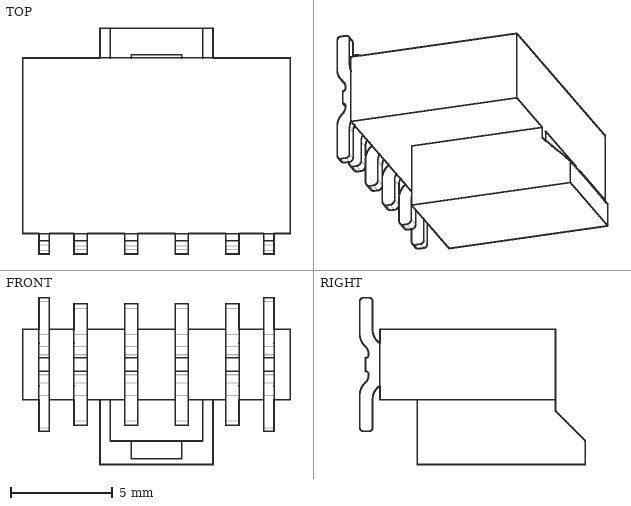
import cadquery as cq
import math

HOUSING_WIDTH = 13.23
HOUSING_DEPTH = 8.69
HOUSING_HEIGHT = 3.49
HOUSING_BOTTOM = -HOUSING_HEIGHT / 2

BRACKET_WIDTH = 5.61
BRACKET_DROP = 3.2
BRACKET_SETBACK = 1.84
BRACKET_OVERHANG = 1.47
BRACKET_WALL = 0.53
BRACKET_FLOOR = 1.18
FLOOR_TOP = HOUSING_BOTTOM - BRACKET_DROP + BRACKET_FLOOR

POCKET_WIDTH = 2.5
POCKET_DEPTH = 0.89
POCKET_OVERRUN = 0.15

PIN_REACH = 1.0
PIN_THICKNESS = 0.65
WAIST_REACH = 0.57
BOSS_REACH = 0.71
BOSS_HALF_HEIGHT = 0.33
WAIST_FLAT_END = 0.52
OUTER_BEND_END = 1.51
BEND_TURN = 0.4
INNER_BEND_END = 1.72
INNER_BEND_RADIUS = 0.8

SIGNAL_PITCH = 2.5
SIGNAL_COUNT = 4
SIGNAL_WIDTH = 0.66
SIGNAL_HEIGHT = 6.02
SIGNAL_TIP_RADIUS = 0.24
END_PIN_OFFSET = 5.55
END_PIN_WIDTH = 0.53
END_PIN_HEIGHT = 6.62
END_TIP_RADIUS = 0.19


def make_housing():
    return cq.Workplane("XY").box(
        HOUSING_WIDTH, HOUSING_DEPTH, HOUSING_HEIGHT, centered=(True, False, True)
    )


def make_bracket():
    front = BRACKET_SETBACK
    back = HOUSING_DEPTH + BRACKET_OVERHANG
    bottom = HOUSING_BOTTOM - BRACKET_DROP
    slope_top = FLOOR_TOP + BRACKET_OVERHANG
    block = (
        cq.Workplane("YZ")
        .moveTo(front, HOUSING_BOTTOM)
        .lineTo(front, bottom)
        .lineTo(back, bottom)
        .lineTo(back, FLOOR_TOP)
        .lineTo(HOUSING_DEPTH, slope_top)
        .lineTo(HOUSING_DEPTH, HOUSING_BOTTOM)
        .close()
        .extrude(BRACKET_WIDTH / 2, both=True)
    )
    channel = (
        cq.Workplane("XY", origin=(0, front, FLOOR_TOP))
        .box(
            BRACKET_WIDTH - 2 * BRACKET_WALL,
            back - front,
            BRACKET_DROP - BRACKET_FLOOR,
            centered=(True, False, False),
        )
    )
    pocket = (
        cq.Workplane("XY", origin=(0, front, FLOOR_TOP - POCKET_DEPTH))
        .box(
            POCKET_WIDTH,
            HOUSING_DEPTH + POCKET_OVERRUN - front,
            POCKET_DEPTH,
            centered=(True, False, False),
        )
    )
    return block.cut(channel).cut(pocket)


def arc_point(center_y, center_z, radius, angle):
    return (center_y + radius * math.cos(angle), center_z + radius * math.sin(angle))


def make_pin(x, width, height, tip_radius):
    tip = height / 2
    outer = -PIN_REACH
    inner = outer + PIN_THICKNESS

    bend_offset = PIN_REACH - WAIST_REACH
    bend_height = OUTER_BEND_END - WAIST_FLAT_END
    bend_angle = 2 * math.atan(bend_offset / bend_height)
    hollow_radius = BEND_TURN / math.sin(bend_angle)
    round_radius = (bend_height - BEND_TURN) / math.sin(bend_angle)
    hollow_center = (-WAIST_REACH - hollow_radius, WAIST_FLAT_END)
    round_center = (outer + round_radius, OUTER_BEND_END)
    hollow_mid = arc_point(*hollow_center, hollow_radius, bend_angle / 2)
    hollow_end = arc_point(*hollow_center, hollow_radius, bend_angle)
    round_mid = arc_point(*round_center, round_radius, math.pi + bend_angle / 2)

    inner_center = (inner + INNER_BEND_RADIUS, INNER_BEND_END)
    inner_angle = math.acos(inner_center[0] / INNER_BEND_RADIUS)
    inner_mid = arc_point(*inner_center, INNER_BEND_RADIUS, math.pi + inner_angle / 2)
    inner_end = arc_point(*inner_center, INNER_BEND_RADIUS, math.pi + inner_angle)

    boss_radius = BOSS_REACH - WAIST_REACH
    boss_top = BOSS_HALF_HEIGHT + boss_radius
    boss_mid = arc_point(-BOSS_REACH, boss_top, boss_radius, -math.pi / 4)

    upper_half = (
        cq.Workplane("YZ", origin=(x, 0, 0))
        .moveTo(0, 0)
        .lineTo(-BOSS_REACH, 0)
        .lineTo(-BOSS_REACH, BOSS_HALF_HEIGHT)
        .threePointArc(boss_mid, (-WAIST_REACH, boss_top))
        .lineTo(-WAIST_REACH, WAIST_FLAT_END)
        .threePointArc(hollow_mid, hollow_end)
        .threePointArc(round_mid, (outer, OUTER_BEND_END))
        .lineTo(outer, tip)
        .lineTo(inner, tip)
        .lineTo(inner, INNER_BEND_END)
        .threePointArc(inner_mid, inner_end)
        .close()
        .extrude(width / 2, both=True)
        .faces(">Z")
        .edges("|X")
        .fillet(tip_radius)
    )
    return upper_half.union(upper_half.mirror("XY"))


result = make_housing().union(make_bracket())

for index in range(SIGNAL_COUNT):
    signal_x = (index - (SIGNAL_COUNT - 1) / 2) * SIGNAL_PITCH
    result = result.union(make_pin(signal_x, SIGNAL_WIDTH, SIGNAL_HEIGHT, SIGNAL_TIP_RADIUS))

for end_x in (-END_PIN_OFFSET, END_PIN_OFFSET):
    result = result.union(make_pin(end_x, END_PIN_WIDTH, END_PIN_HEIGHT, END_TIP_RADIUS))

result = result.clean()